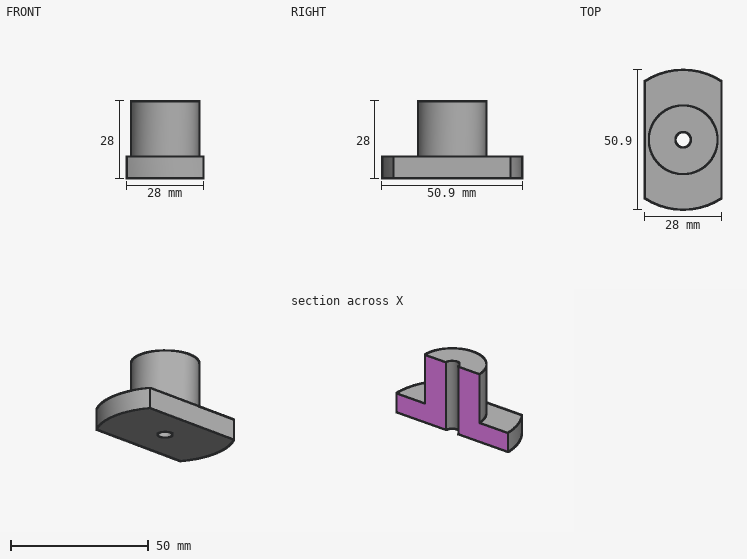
import cadquery as cq

flange_diameter = 50.9
flange_width = 28.0
flange_thickness = 8.0

total_height = 28.0
boss_diameter = 25.0
bore_diameter = 5.5


def make_flange():
    disc = cq.Workplane("XY").circle(flange_diameter / 2).extrude(flange_thickness)
    strip = cq.Workplane("XY").rect(flange_width, flange_diameter).extrude(flange_thickness)
    return disc.intersect(strip)


def make_boss():
    return cq.Workplane("XY").circle(boss_diameter / 2).extrude(total_height)


def make_bore():
    return cq.Workplane("XY").circle(bore_diameter / 2).extrude(total_height)


result = make_flange().union(make_boss()).cut(make_bore())